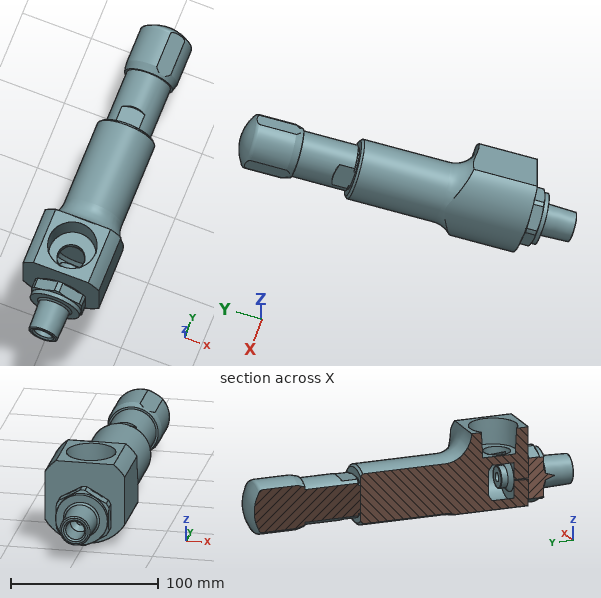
import cadquery as cq
import math

OVERALL_LENGTH = 235.5

TIP_RADIUS = 10.4
TIP_CHAMFER_LENGTH = 0.5
TIP_CHAMFER_DEPTH = 1.2
STUB_BASE_RADIUS = 11.0
STUB_BASE_Y = 21.0
FLARE_RADIUS = 12.5
COLLAR_RADIUS = 18.0
COLLAR_Y = 22.1
HEX_FRONT_Y = 25.2
HEX_BACK_Y = 33.0
HEX_ACROSS_FLATS = 36.3
HEX_CORNER_RADIUS = 20.0
HEX_CHAMFER_ANGLE = 20.0
SHANK_RADIUS = 10.8
SHANK_END_Y = 44.0
NOSE_RADIUS = 7.8
NOSE_END_Y = 52.0
NOSE_CHAMFER = 0.5
INLET_MOUTH_RADIUS = 7.8
INLET_RADIUS = 6.5
INLET_DEPTH = 16.5
ORIFICE_RADIUS = 3.0

BLOCK_FRONT_Y = 33.7
BLOCK_WIDTH = 55.0
BLOCK_TOP_Z = 37.0
BLOCK_BOTTOM_Z = -21.2
BLOCK_ROUND_RADIUS = 32.5
BARREL_RADIUS = 21.0
BARREL_END_Y = 156.0
BARREL_CHAMFER = 1.6
FLARE_START_Y = 93.3
FLARE_ARC_RADIUS = 18.4
CHAMBER_RADIUS = 16.5
CHAMBER_END_Y = 59.8
CHAMBER_CHAMFER = 2.4

PORT_Y = 54.9
PORT_TOP_RADIUS = 16.7
PORT_FLOOR_RADIUS = 16.0
PORT_DEPTH = 18.1
PASSAGE_Y = 52.3
PASSAGE_RADIUS = 9.5

GROOVE_RADIUS = 14.8
GROOVE_LENGTH = 1.2
STEM_RADIUS = 16.0
STEM_FLAT_HEIGHT = 13.7
STEM_FLAT_END_Y = 168.0
STEM_FLAT_END_RISE = 2.0
CAP_RADIUS = 18.8
CAP_RIM_Y = 196.2
CAP_RIM_RADIUS = 17.5
CAP_BODY_START_Y = 201.5
CAP_BODY_END_Y = 227.3
CAP_DOME_EDGE_Y = 230.0
CAP_DOME_EDGE_RADIUS = 17.0
CAP_FLAT_DISTANCE = 18.0
CAP_FLAT_ANGLES = (60.0, 180.0, 300.0)


def turned(profile):
    """Revolve a closed half profile, drawn as (radius, y), about the Y axis."""
    return profile.close().revolve(360, (0, 0, 0), (0, 1, 0))


def along_y(start_y):
    """Sketch plane with X to the right, Z up and its normal along -Y."""
    return cq.Workplane("XZ", origin=(0, start_y, 0))


def make_hex():
    """Hexagon with two corners on the Z axis, rounded off and chamfered at its front end."""
    corner_distance = HEX_ACROSS_FLATS / math.cos(math.radians(30))
    hexagon = (
        along_y(HEX_BACK_Y)
        .transformed(rotate=(0, 0, 90))
        .polygon(6, corner_distance)
        .extrude(HEX_BACK_Y - HEX_FRONT_Y)
    )
    chamfer_length = (HEX_CORNER_RADIUS - COLLAR_RADIUS) * math.tan(math.radians(HEX_CHAMFER_ANGLE))
    envelope = turned(
        cq.Workplane("XY")
        .moveTo(0, HEX_FRONT_Y)
        .lineTo(COLLAR_RADIUS, HEX_FRONT_Y)
        .lineTo(HEX_CORNER_RADIUS, HEX_FRONT_Y + chamfer_length)
        .lineTo(HEX_CORNER_RADIUS, HEX_BACK_Y)
        .lineTo(0, HEX_BACK_Y)
    )
    return hexagon.intersect(envelope)


def make_inlet_bore():
    """Countersunk inlet that tapers down to an orifice running through the nose."""
    mouth_depth = INLET_MOUTH_RADIUS - INLET_RADIUS
    taper_length = INLET_RADIUS - ORIFICE_RADIUS
    return turned(
        cq.Workplane("XY")
        .lineTo(INLET_MOUTH_RADIUS, 0)
        .lineTo(INLET_RADIUS, mouth_depth)
        .lineTo(INLET_RADIUS, INLET_DEPTH)
        .lineTo(ORIFICE_RADIUS, INLET_DEPTH + taper_length)
        .lineTo(ORIFICE_RADIUS, NOSE_END_Y)
        .lineTo(0, NOSE_END_Y)
    )


def make_fitting():
    shoulder_length = SHANK_RADIUS - NOSE_RADIUS
    turning = turned(
        cq.Workplane("XY")
        .lineTo(TIP_RADIUS - TIP_CHAMFER_DEPTH, 0)
        .lineTo(TIP_RADIUS, TIP_CHAMFER_LENGTH)
        .lineTo(STUB_BASE_RADIUS, STUB_BASE_Y)
        .lineTo(FLARE_RADIUS, COLLAR_Y)
        .lineTo(COLLAR_RADIUS, COLLAR_Y)
        .lineTo(COLLAR_RADIUS, BLOCK_FRONT_Y)
        .lineTo(SHANK_RADIUS, BLOCK_FRONT_Y)
        .lineTo(SHANK_RADIUS, SHANK_END_Y)
        .lineTo(NOSE_RADIUS, SHANK_END_Y + shoulder_length)
        .lineTo(NOSE_RADIUS, NOSE_END_Y - NOSE_CHAMFER)
        .lineTo(NOSE_RADIUS - NOSE_CHAMFER, NOSE_END_Y)
        .lineTo(0, NOSE_END_Y)
    )
    return turning.union(make_hex()).cut(make_inlet_bore())


def make_block():
    """Block outline: one large circle trimmed by the two sides and the flat top."""
    block_length = BARREL_END_Y - BLOCK_FRONT_Y
    centre_z = BLOCK_BOTTOM_Z + BLOCK_ROUND_RADIUS
    height = BLOCK_TOP_Z - BLOCK_BOTTOM_Z
    slab = (
        along_y(BARREL_END_Y)
        .center(0, BLOCK_BOTTOM_Z + height / 2)
        .rect(BLOCK_WIDTH, height)
        .extrude(block_length)
    )
    rounding = along_y(BARREL_END_Y).center(0, centre_z).circle(BLOCK_ROUND_RADIUS).extrude(block_length)
    return slab.intersect(rounding)


def make_barrel_envelope():
    """Barrel that flares through a concave arc to a shoulder square to the axis."""
    flare_end_radius = BARREL_RADIUS + FLARE_ARC_RADIUS
    flare_end_y = FLARE_START_Y - FLARE_ARC_RADIUS
    diagonal = FLARE_ARC_RADIUS * math.sqrt(0.5)
    arc_middle = (flare_end_radius - diagonal, FLARE_START_Y - diagonal)
    return turned(
        cq.Workplane("XY")
        .moveTo(0, BLOCK_FRONT_Y)
        .lineTo(BLOCK_WIDTH, BLOCK_FRONT_Y)
        .lineTo(BLOCK_WIDTH, flare_end_y)
        .lineTo(flare_end_radius, flare_end_y)
        .threePointArc(arc_middle, (BARREL_RADIUS, FLARE_START_Y))
        .lineTo(BARREL_RADIUS, BARREL_END_Y - BARREL_CHAMFER)
        .lineTo(BARREL_RADIUS - BARREL_CHAMFER, BARREL_END_Y)
        .lineTo(0, BARREL_END_Y)
    )


def make_chamber():
    """Bore that fits the fitting's shank and opens into the valve chamber."""
    return turned(
        cq.Workplane("XY")
        .moveTo(0, BLOCK_FRONT_Y)
        .lineTo(SHANK_RADIUS, BLOCK_FRONT_Y)
        .lineTo(SHANK_RADIUS, SHANK_END_Y)
        .lineTo(CHAMBER_RADIUS, SHANK_END_Y)
        .lineTo(CHAMBER_RADIUS, CHAMBER_END_Y)
        .lineTo(CHAMBER_RADIUS - CHAMBER_CHAMFER, CHAMBER_END_Y + CHAMBER_CHAMFER)
        .lineTo(0, CHAMBER_END_Y + CHAMBER_CHAMFER)
    )


def make_port():
    """Tapered outlet port with a narrower passage from its floor down to the axis."""
    floor_z = BLOCK_TOP_Z - PORT_DEPTH
    port = (
        cq.Workplane("XY", origin=(0, PORT_Y, floor_z))
        .circle(PORT_FLOOR_RADIUS)
        .workplane(offset=PORT_DEPTH)
        .circle(PORT_TOP_RADIUS)
        .loft()
    )
    passage = cq.Workplane("XY", origin=(0, PASSAGE_Y, 0)).circle(PASSAGE_RADIUS).extrude(floor_z)
    return port.union(passage)


def make_housing():
    return make_block().intersect(make_barrel_envelope()).cut(make_chamber()).cut(make_port())


def make_stem():
    """Round stem with an undercut next to the barrel and an arc-ended wrench flat above and below."""
    stem = turned(
        cq.Workplane("XY")
        .moveTo(0, BARREL_END_Y)
        .lineTo(GROOVE_RADIUS, BARREL_END_Y)
        .lineTo(GROOVE_RADIUS, BARREL_END_Y + GROOVE_LENGTH)
        .lineTo(STEM_RADIUS, BARREL_END_Y + GROOVE_LENGTH)
        .lineTo(STEM_RADIUS, CAP_RIM_Y)
        .lineTo(0, CAP_RIM_Y)
    )
    half_width = math.sqrt(STEM_RADIUS**2 - STEM_FLAT_HEIGHT**2)
    flat_cutter = (
        cq.Workplane("XY", origin=(0, 0, STEM_FLAT_HEIGHT))
        .moveTo(-half_width, BARREL_END_Y)
        .lineTo(-half_width, STEM_FLAT_END_Y)
        .threePointArc((0, STEM_FLAT_END_Y + STEM_FLAT_END_RISE), (half_width, STEM_FLAT_END_Y))
        .lineTo(half_width, BARREL_END_Y)
        .close()
        .extrude(STEM_RADIUS - STEM_FLAT_HEIGHT)
    )
    return stem.cut(flat_cutter).cut(flat_cutter.mirror("XY"))


def make_cap():
    """Domed cap with a rounded shoulder, a conical rim and three flats spaced evenly around it."""
    shoulder_inset = CAP_RADIUS - CAP_DOME_EDGE_RADIUS
    shoulder_length = CAP_DOME_EDGE_Y - CAP_BODY_END_Y
    shoulder_radius = (shoulder_inset**2 + shoulder_length**2) / (2 * shoulder_inset)
    shoulder_half_angle = math.asin(shoulder_length / shoulder_radius) / 2
    shoulder_middle = (
        CAP_RADIUS - shoulder_radius * (1 - math.cos(shoulder_half_angle)),
        CAP_BODY_END_Y + shoulder_radius * math.sin(shoulder_half_angle),
    )
    dome_height = OVERALL_LENGTH - CAP_DOME_EDGE_Y
    dome_radius = (CAP_DOME_EDGE_RADIUS**2 + dome_height**2) / (2 * dome_height)
    dome_half_angle = math.asin(CAP_DOME_EDGE_RADIUS / dome_radius) / 2
    dome_middle = (
        dome_radius * math.sin(dome_half_angle),
        OVERALL_LENGTH - dome_radius * (1 - math.cos(dome_half_angle)),
    )
    cap = turned(
        cq.Workplane("XY")
        .moveTo(0, CAP_RIM_Y)
        .lineTo(CAP_RIM_RADIUS, CAP_RIM_Y)
        .lineTo(CAP_RADIUS, CAP_BODY_START_Y)
        .lineTo(CAP_RADIUS, CAP_BODY_END_Y)
        .threePointArc(shoulder_middle, (CAP_DOME_EDGE_RADIUS, CAP_DOME_EDGE_Y))
        .threePointArc(dome_middle, (0, OVERALL_LENGTH))
    )
    cap_length = OVERALL_LENGTH - CAP_RIM_Y
    flat_cutter = (
        along_y(OVERALL_LENGTH)
        .center(CAP_FLAT_DISTANCE + CAP_RADIUS / 2, 0)
        .rect(CAP_RADIUS, 2 * CAP_RADIUS)
        .extrude(cap_length)
    )
    for angle in CAP_FLAT_ANGLES:
        cap = cap.cut(flat_cutter.rotate((0, 0, 0), (0, -1, 0), angle))
    return cap


def make_adjuster():
    return make_stem().union(make_cap())


fitting = make_fitting()
housing = make_housing()
adjuster = make_adjuster()

result = cq.Compound.makeCompound([fitting.val(), housing.val(), adjuster.val()])